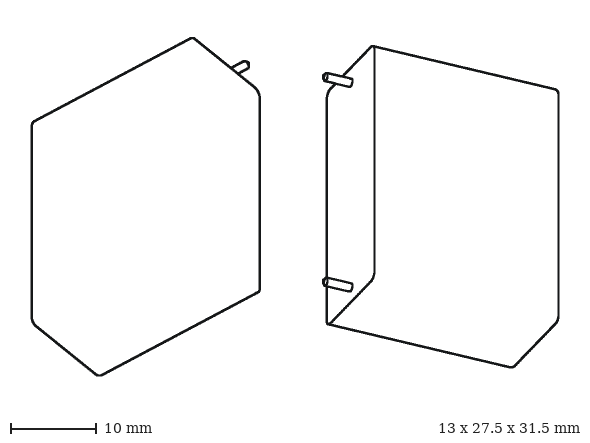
import cadquery as cq

body_width = 13.0
body_depth = 24.0
body_height = 31.5
long_edge_radius = 1.0
front_edge_radius = 0.5

pin_diameter = 1.0
pin_length = 3.5
pin_spacing = 27.5
pin_tip_chamfer = 0.3


def make_body():
    """Block with its back face on Y = 0, rounded along Y and around the front face."""
    block = cq.Workplane("XY").box(body_width, body_depth, body_height)
    block = block.translate((0, -body_depth / 2, 0))
    block = block.edges("|Y").fillet(long_edge_radius)
    return block.faces("<Y").edges().fillet(front_edge_radius)


def make_pin(height):
    """Pin along +Y at the given Z, starting on the back face, with a chamfered tip."""
    pin = cq.Workplane("XZ").center(0, height).circle(pin_diameter / 2).extrude(-pin_length)
    return pin.faces(">Y").edges().chamfer(pin_tip_chamfer)


result = make_body()
for side in (-1, 1):
    result = result.union(make_pin(side * pin_spacing / 2))